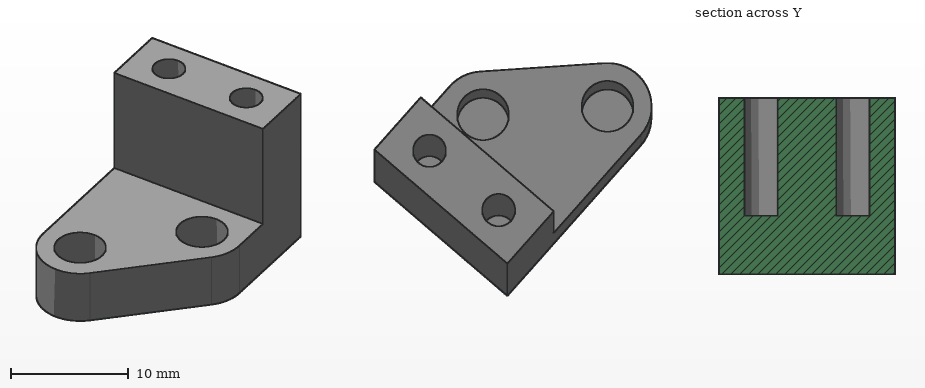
import cadquery as cq
import math

width = 15.0
height = 15.0
plate_thickness = 5.0
block_depth = 6.0

corner_radius = 3.75
mount_diameter = 4.4
mount_depth = 4.0
mount_step = 7.5
right_mount = (width - corner_radius, -(block_depth + corner_radius))
left_mount = (right_mount[0] - mount_step, right_mount[1] - mount_step)

pin_diameter = 2.8
pin_spacing = 7.8
pin_depth = height - plate_thickness


def around(center, angle):
    """Point on the rounded corner about center, at an angle in degrees from +X."""
    a = math.radians(angle)
    return (center[0] + corner_radius * math.cos(a), center[1] + corner_radius * math.sin(a))


def make_plate():
    """Base plate: two rounded corners joined by a 45 degree tangent edge."""
    tangent_angle = -45.0
    left_start = -180.0
    right_end = 0.0
    return (
        cq.Workplane("XY")
        .lineTo(*around(left_mount, left_start))
        .threePointArc(
            around(left_mount, (left_start + tangent_angle) / 2),
            around(left_mount, tangent_angle),
        )
        .lineTo(*around(right_mount, tangent_angle))
        .threePointArc(
            around(right_mount, (tangent_angle + right_end) / 2),
            around(right_mount, right_end),
        )
        .lineTo(width, 0)
        .close()
        .extrude(plate_thickness)
    )


def make_block():
    """Upright block along the back edge of the plate."""
    return cq.Workplane("XY").box(width, block_depth, height, centered=False).translate((0, -block_depth, 0))


def hole_cutters(centers, diameter, top, depth):
    """Vertical cylinders that go down from height top."""
    return cq.Workplane("XY").workplane(offset=top).pushPoints(centers).circle(diameter / 2).extrude(-depth)


pin_centers = [(width / 2 + side * pin_spacing / 2, -block_depth / 2) for side in (-1, 1)]

result = make_plate().union(make_block())
result = result.cut(hole_cutters([left_mount, right_mount], mount_diameter, plate_thickness, mount_depth))
result = result.cut(hole_cutters(pin_centers, pin_diameter, height, pin_depth))